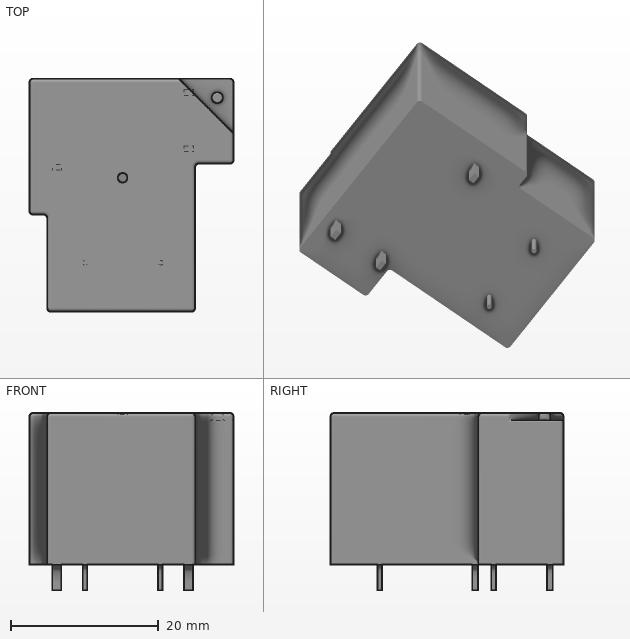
import cadquery as cq
import math

total_width = 27.6
total_length = 31.51
total_height = 24.0
pin_length = 3.5
body_height = total_height - pin_length
left_step_width = 2.4
left_step_y = -18.4
right_step_x = 22.4
right_step_y = -11.5
body_fillet = 0.5

corner_leg = 7.4
corner_depth = 1.0
corner_fillet = 0.2
post_radius = 0.75
post_tip_fillet = 0.25
post_height = 1.0
post_inset_x = 2.2
post_inset_y = 2.57

mark_radius = 0.65
mark_depth = 0.2
mark_rim_fillet = 0.1
mark_x = 12.6
mark_y = -13.4

blade_width = 1.25
blade_thickness = 0.8
narrow_blade_thickness = 0.7
left_blade_x = 3.7
right_blade_x = 21.5
blade_pins = [
    (left_blade_x, -11.95, blade_thickness),
    (right_blade_x, -1.85, blade_thickness),
    (right_blade_x, -9.45, narrow_blade_thickness),
]
coil_pin_diameter = 0.65
coil_pin_y = -24.85
coil_pin_xs = [7.5, 17.7]


def make_housing():
    """Stepped block with rounded vertical and top edges."""
    outline = [
        (0, 0),
        (total_width, 0),
        (total_width, right_step_y),
        (right_step_x, right_step_y),
        (right_step_x, -total_length),
        (left_step_width, -total_length),
        (left_step_width, left_step_y),
        (0, left_step_y),
    ]
    block = cq.Workplane("XY").polyline(outline).close().extrude(body_height)
    block = block.edges("|Z").fillet(body_fillet)
    return block.faces(">Z").edges().fillet(body_fillet)


def fillet_at(body, points, radius):
    """Round together the edges whose middles are nearest to the given points."""
    picked = [body.edges(cq.selectors.NearestToPointSelector(point)).val() for point in points]
    return body.newObject([body.val().fillet(radius, picked)])


def lower_corner(housing):
    """Cut the rear right corner down to a triangular floor and soften its edges."""
    floor_z = body_height - corner_depth
    triangle = [
        (total_width, 0),
        (total_width - corner_leg, 0),
        (total_width, -corner_leg),
    ]
    cutter = cq.Workplane("XY", origin=(0, 0, floor_z)).polyline(triangle).close().extrude(corner_depth)
    lowered = housing.cut(cutter)
    wall_x = total_width - corner_leg / 2
    wall_y = -corner_leg / 2
    arc_inset = body_fillet * (1 - math.sqrt(0.5))
    outer_edges = [
        (wall_x, 0, floor_z),
        (total_width, wall_y, floor_z),
        (total_width - arc_inset, -arc_inset, floor_z),
    ]
    wall_top = [(wall_x, wall_y, body_height)]
    wall_foot = [(wall_x, wall_y, floor_z)]
    for edge_points in (outer_edges, wall_top, wall_foot):
        lowered = fillet_at(lowered, edge_points, corner_fillet)
    return lowered


def make_post():
    """Round post on the corner floor with a rounded tip and a flared foot."""
    foot_z = body_height - corner_depth
    foot_radius = post_radius + corner_fillet
    tip_radius = post_radius - post_tip_fillet
    tip_z = foot_z + post_height
    foot_bend = corner_fillet * (1 - math.sqrt(0.5))
    tip_bend = post_tip_fillet * (1 - math.sqrt(0.5))
    profile = (
        cq.Workplane("XZ")
        .moveTo(0, foot_z - corner_fillet)
        .lineTo(foot_radius, foot_z - corner_fillet)
        .lineTo(foot_radius, foot_z)
        .threePointArc((post_radius + foot_bend, foot_z + foot_bend), (post_radius, foot_z + corner_fillet))
        .lineTo(post_radius, tip_z - post_tip_fillet)
        .threePointArc((post_radius - tip_bend, tip_z - tip_bend), (tip_radius, tip_z))
        .lineTo(0, tip_z)
        .close()
    )
    post = profile.revolve(360, (0, 0, 0), (0, 1, 0))
    return post.translate((total_width - post_inset_x, -post_inset_y, 0))


def cut_mark(housing):
    """Sink the shallow round mark and round its rim."""
    mark = cq.Workplane("XY", origin=(mark_x, mark_y, body_height - mark_depth))
    marked = housing.cut(mark.circle(mark_radius).extrude(mark_depth))
    return fillet_at(marked, [(mark_x, mark_y, body_height)], mark_rim_fillet)


def add_pins(housing):
    """Flat contact pins and round coil pins hanging from the underside."""
    underside = cq.Workplane("XY")
    for x, y, thickness in blade_pins:
        blade = underside.center(x, y).rect(blade_width, thickness).extrude(-pin_length)
        housing = housing.union(blade)
    for x in coil_pin_xs:
        pin = underside.center(x, coil_pin_y).circle(coil_pin_diameter / 2).extrude(-pin_length)
        housing = housing.union(pin)
    return housing


housing = lower_corner(make_housing())
housing = cut_mark(housing.union(make_post()))
result = add_pins(housing)